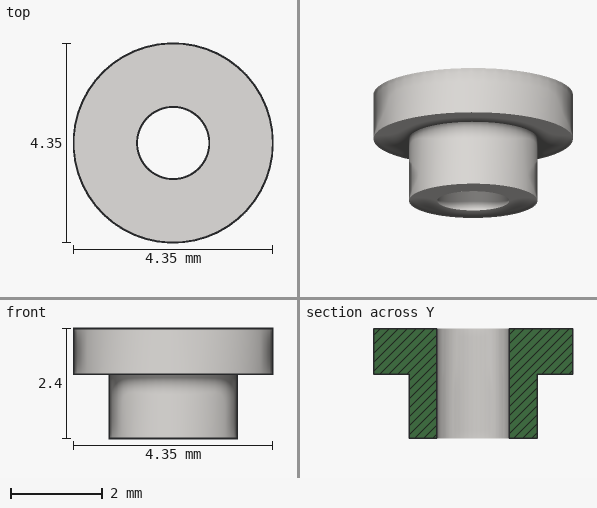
import cadquery as cq

flange_diameter = 4.35
flange_thickness = 1.0
sleeve_diameter = 2.8
bore_diameter = 1.57
total_height = 2.4

sleeve_length = total_height - flange_thickness


def make_sleeve():
    """Narrow lower cylinder, standing on the XY plane."""
    return cq.Workplane("XY").circle(sleeve_diameter / 2).extrude(sleeve_length)


def make_flange():
    """Wide disc on top of the sleeve."""
    return (
        cq.Workplane("XY")
        .workplane(offset=sleeve_length)
        .circle(flange_diameter / 2)
        .extrude(flange_thickness)
    )


def make_bore():
    """Straight hole through the full height."""
    return cq.Workplane("XY").circle(bore_diameter / 2).extrude(total_height)


result = make_sleeve().union(make_flange()).cut(make_bore())